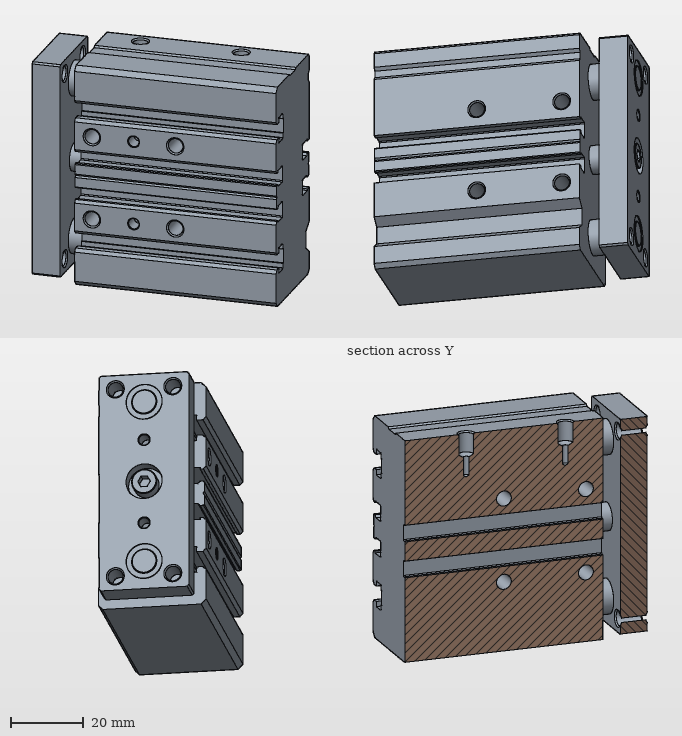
import cadquery as cq
import math


BODY_LENGTH = 58.0
BODY_WIDTH = 30.0
BODY_HEIGHT = 64.0
FACE_Y = BODY_WIDTH / 2
TOP_Z = BODY_HEIGHT / 2
CORNER_CHAMFER = 1.4
REAR_TOP_CHAMFER = 0.8
REAR_BOTTOM_CHAMFER = 1.2

PLATE_THICKNESS = 8.0
PLATE_WIDTH = 25.0
PLATE_HEIGHT = 62.0
PLATE_GAP = 5.0
PLATE_CHAMFER = 0.5
PLATE_BACK_X = -PLATE_GAP
PLATE_FRONT_X = PLATE_BACK_X - PLATE_THICKNESS

GUIDE_Z = 23.0
GUIDE_DIAMETER = 10.0
PISTON_DIAMETER = 8.0
ROD_DEPTH = 50.0
TENON_DIAMETER = 7.0
TENON_CHAMFER = 0.2
RECESS_DIAMETER = 10.0
GUIDE_RECESS_DEPTH = 0.3
PISTON_RECESS_DEPTH = 4.0
HEX_ACROSS_FLATS = 3.0
HEX_DEPTH = 2.5

THREAD_DIAMETER = 4.2
THREAD_MOUTH_DIAMETER = 5.0
DOWEL_DIAMETER = 3.0
DOWEL_MOUTH_DIAMETER = 3.4
DOWEL_DEPTH = 5.0
DRILL_TIP_ANGLE = 120.0
HOLE_Z = 12.0
MOUNT_HOLE_X = (5.0, 29.0)
DOWEL_X = sum(MOUNT_HOLE_X) / 2
PLATE_HOLE_Y = 8.0
PLATE_HOLE_Z = 27.0
PORT_X = (11.0, 40.0)
PORT_Y = 10.0
PORT_DEPTH = 6.0
PORT_PASSAGE_DIAMETER = 1.5
PORT_PASSAGE_DEPTH = 12.0

T_SLOT_Z = 19.0
T_OPENING = 4.4
T_WIDTH = 7.4
T_LIP = 2.65
T_DEPTH = 6.2
T_CHAMFER = 0.9
T_FLOOR_CHAMFER = 0.3
T_TROUGH_WIDTH = 4.2
T_TROUGH_DEPTH = 0.5

SENSOR_OUTER_Z = 7.0
SENSOR_OUTER_LIP = 1.7
SENSOR_OUTER_UNDERCUT = 0.5
SENSOR_OUTER_CHAMFER = 0.8
SENSOR_DEPTH = 6.0
SENSOR_FLOOR_CHAMFER = 0.3
RIB_HALF = 3.5
RIB_SETBACK = 0.5
RIB_EDGE_CHAMFER = 0.25
RIB_LIP = 1.7
RIB_UNDERCUT = 0.65
RIB_MARK_HALF = 0.5
RIB_MARK_DEPTH = 0.35

TOP_GROOVE_HALF = 3.0
TOP_GROOVE_DEPTH = 0.5
REAR_GROOVE_Z = 25.4
REAR_GROOVE_HALF = 1.8
REAR_GROOVE_DEPTH = 0.85
REAR_SLOT_Z = -21.4
REAR_SLOT_HALF = 4.4
REAR_SLOT_DEPTH = 3.0
REAR_SLOT_SLOPE = 33.0


def x_cylinder(x_start, x_end, z, diameter):
    """Cylinder along X on the Y = 0 plane."""
    return cq.Workplane("YZ", origin=(x_start, 0, z)).circle(diameter / 2).extrude(x_end - x_start)


def body_prism(points):
    """Prism with a (Y, Z) outline along the full body length."""
    return cq.Workplane("YZ").polyline(points).close().extrude(BODY_LENGTH)


def symmetric_slot(side, z, half_profile):
    """Slot on the Y face given by side; half_profile lists (depth, half width) from mouth to floor."""
    upper = [(side * (FACE_Y - depth), z + half) for depth, half in half_profile]
    lower = [(side * (FACE_Y - depth), z - half) for depth, half in reversed(half_profile)]
    return body_prism(upper + lower)


def drill(point, direction, profile):
    """Revolved hole; profile lists (depth, radius) from the mouth inward along direction."""
    plane_x = (0, 0, 1) if direction[2] == 0 else (1, 0, 0)
    normal = cq.Vector(*plane_x).cross(cq.Vector(*direction))
    plane = cq.Plane(origin=point, xDir=plane_x, normal=normal.toTuple())
    outline = [(0, 0)] + [(radius, depth) for depth, radius in profile]
    return cq.Workplane(plane).polyline(outline).close().revolve(360, (0, 0, 0), (0, 1, 0))


def tip_length(radius):
    """Length of the cone left by a drill of the given radius."""
    return radius / math.tan(math.radians(DRILL_TIP_ANGLE / 2))


def mouth_profile(mouth_diameter, diameter):
    """45 degree mouth chamfer leading into a bore."""
    return [(0, mouth_diameter / 2), ((mouth_diameter - diameter) / 2, diameter / 2)]


def through_hole(point, direction, length):
    """Threaded through hole chamfered at both ends."""
    entry = mouth_profile(THREAD_MOUTH_DIAMETER, THREAD_DIAMETER)
    leave = [(length - depth, radius) for depth, radius in reversed(entry)]
    return drill(point, direction, entry + leave + [(length, 0)])


def dowel_hole(point, direction):
    radius = DOWEL_DIAMETER / 2
    profile = mouth_profile(DOWEL_MOUTH_DIAMETER, DOWEL_DIAMETER)
    return drill(point, direction, profile + [(DOWEL_DEPTH, radius), (DOWEL_DEPTH + tip_length(radius), 0)])


def port_hole(x):
    """Threaded port in the top face, narrowing through a cone to a small passage."""
    radius = THREAD_DIAMETER / 2
    passage = PORT_PASSAGE_DIAMETER / 2
    profile = mouth_profile(THREAD_MOUTH_DIAMETER, THREAD_DIAMETER) + [
        (PORT_DEPTH, radius),
        (PORT_DEPTH + tip_length(radius - passage), passage),
        (PORT_PASSAGE_DEPTH, passage),
        (PORT_PASSAGE_DEPTH + tip_length(passage), 0),
    ]
    return drill((x, PORT_Y, TOP_Z), (0, 0, -1), profile)


def body_blank():
    return body_prism([
        (-FACE_Y, TOP_Z - CORNER_CHAMFER),
        (-FACE_Y + CORNER_CHAMFER, TOP_Z),
        (FACE_Y - REAR_TOP_CHAMFER, TOP_Z),
        (FACE_Y, TOP_Z - REAR_TOP_CHAMFER),
        (FACE_Y, -TOP_Z + REAR_BOTTOM_CHAMFER),
        (FACE_Y - REAR_BOTTOM_CHAMFER, -TOP_Z),
        (-FACE_Y + CORNER_CHAMFER, -TOP_Z),
        (-FACE_Y, -TOP_Z + CORNER_CHAMFER),
    ])


def t_slot(z):
    return symmetric_slot(-1, z, [
        (0, T_OPENING / 2 + T_CHAMFER),
        (T_CHAMFER, T_OPENING / 2),
        (T_LIP, T_OPENING / 2),
        (T_LIP, T_WIDTH / 2),
        (T_DEPTH - T_FLOOR_CHAMFER, T_WIDTH / 2),
        (T_DEPTH, T_WIDTH / 2 - T_FLOOR_CHAMFER),
        (T_DEPTH, T_TROUGH_WIDTH / 2),
        (T_DEPTH + T_TROUGH_DEPTH, T_TROUGH_WIDTH / 2),
    ])


def sensor_slot(side, up):
    """Undercut slot between the central rib and the outer land; up is +1 above the rib, -1 below.

    Only the slots on the -Y face have a chamfered outer lip.
    """
    front_lip = [(0, SENSOR_OUTER_Z + SENSOR_OUTER_CHAMFER), (SENSOR_OUTER_CHAMFER, SENSOR_OUTER_Z)]
    rear_lip = [(0, SENSOR_OUTER_Z)]
    outer_wall = SENSOR_OUTER_Z + SENSOR_OUTER_UNDERCUT
    rib_wall = RIB_HALF - RIB_UNDERCUT
    section = [
        (0, 0),
        *(front_lip if side < 0 else rear_lip),
        (SENSOR_OUTER_LIP, SENSOR_OUTER_Z),
        (SENSOR_OUTER_LIP, outer_wall),
        (SENSOR_DEPTH - SENSOR_FLOOR_CHAMFER, outer_wall),
        (SENSOR_DEPTH, outer_wall - SENSOR_FLOOR_CHAMFER),
        (SENSOR_DEPTH, rib_wall + SENSOR_FLOOR_CHAMFER),
        (SENSOR_DEPTH - SENSOR_FLOOR_CHAMFER, rib_wall),
        (RIB_LIP + RIB_UNDERCUT, rib_wall),
        (RIB_LIP, RIB_HALF),
        (RIB_SETBACK + RIB_EDGE_CHAMFER, RIB_HALF),
        (RIB_SETBACK, RIB_HALF - RIB_EDGE_CHAMFER),
        (RIB_SETBACK, RIB_MARK_HALF),
        (RIB_SETBACK + RIB_MARK_DEPTH, 0),
    ]
    return body_prism([(side * (FACE_Y - depth), up * z) for depth, z in section])


def shallow_grooves():
    top = body_prism([
        (-TOP_GROOVE_HALF, TOP_Z),
        (TOP_GROOVE_HALF, TOP_Z),
        (TOP_GROOVE_HALF - TOP_GROOVE_DEPTH, TOP_Z - TOP_GROOVE_DEPTH),
        (-TOP_GROOVE_HALF + TOP_GROOVE_DEPTH, TOP_Z - TOP_GROOVE_DEPTH),
    ])
    rear = symmetric_slot(1, REAR_GROOVE_Z, [
        (0, REAR_GROOVE_HALF),
        (REAR_GROOVE_DEPTH, REAR_GROOVE_HALF - REAR_GROOVE_DEPTH),
    ])
    taper = REAR_SLOT_DEPTH * math.tan(math.radians(REAR_SLOT_SLOPE))
    rear_slot = symmetric_slot(1, REAR_SLOT_Z, [
        (0, REAR_SLOT_HALF),
        (REAR_SLOT_DEPTH, REAR_SLOT_HALF - taper),
    ])
    return [top, rear, rear_slot]


def make_body():
    cutters = shallow_grooves()
    for side in (-1, 1):
        for up in (-1, 1):
            cutters.append(sensor_slot(side, up))
    for up in (-1, 1):
        cutters.append(t_slot(up * T_SLOT_Z))
        cutters.append(x_cylinder(0, ROD_DEPTH, up * GUIDE_Z, GUIDE_DIAMETER))
        cutters.append(dowel_hole((DOWEL_X, -FACE_Y, up * HOLE_Z), (0, 1, 0)))
        for x in MOUNT_HOLE_X:
            cutters.append(through_hole((x, -FACE_Y, up * HOLE_Z), (0, 1, 0), BODY_WIDTH))
    cutters.append(x_cylinder(0, ROD_DEPTH, 0, PISTON_DIAMETER))
    for x in PORT_X:
        cutters.append(port_hole(x))
    body = body_blank()
    for cutter in cutters:
        body = body.cut(cutter)
    return body


def make_plate():
    plate = (
        cq.Workplane("YZ", origin=(PLATE_FRONT_X, 0, 0))
        .rect(PLATE_WIDTH, PLATE_HEIGHT)
        .extrude(PLATE_THICKNESS)
        .edges("|X")
        .chamfer(PLATE_CHAMFER)
    )
    recess_depths = {-GUIDE_Z: GUIDE_RECESS_DEPTH, 0: PISTON_RECESS_DEPTH, GUIDE_Z: GUIDE_RECESS_DEPTH}
    for z, depth in recess_depths.items():
        plate = plate.cut(x_cylinder(PLATE_FRONT_X, PLATE_BACK_X, z, TENON_DIAMETER))
        plate = plate.cut(x_cylinder(PLATE_FRONT_X, PLATE_FRONT_X + depth, z, RECESS_DIAMETER))
    for up in (-1, 1):
        plate = plate.cut(dowel_hole((PLATE_FRONT_X, 0, up * HOLE_Z), (1, 0, 0)))
        for side in (-1, 1):
            corner = (PLATE_FRONT_X, side * PLATE_HOLE_Y, up * PLATE_HOLE_Z)
            plate = plate.cut(through_hole(corner, (1, 0, 0), PLATE_THICKNESS))
    return plate


def make_rod(z, diameter):
    """Rod with a tenon that passes through the plate and ends flush with its front face."""
    tenon = x_cylinder(PLATE_FRONT_X, PLATE_BACK_X, z, TENON_DIAMETER).faces("<X").chamfer(TENON_CHAMFER)
    return tenon.union(x_cylinder(PLATE_BACK_X, ROD_DEPTH, z, diameter))


def make_piston_rod():
    across_corners = HEX_ACROSS_FLATS / math.cos(math.radians(30))
    socket = cq.Workplane("YZ", origin=(PLATE_FRONT_X, 0, 0)).polygon(6, across_corners).extrude(HEX_DEPTH)
    return make_rod(0, PISTON_DIAMETER).cut(socket)


body = make_body()
plate = make_plate()
guide_rods = [make_rod(z, GUIDE_DIAMETER) for z in (-GUIDE_Z, GUIDE_Z)]
piston_rod = make_piston_rod()

result = cq.Compound.makeCompound([
    body.val(),
    plate.val(),
    *[rod.val() for rod in guide_rods],
    piston_rod.val(),
])